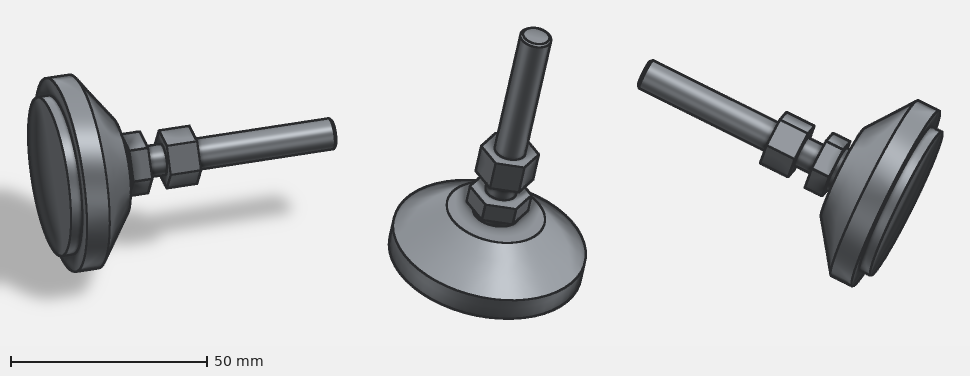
import cadquery as cq
import math

total_length = 75.0
pad_thickness = 3.0
rim_thickness = 6.0
cone_height = 9.0
collar_height = 2.0
lower_hex_height = 4.95
hex_gap = 5.0
upper_hex_height = 8.0

pad_diameter = 41.0
rim_diameter = 50.0
cone_top_diameter = 25.5
collar_diameter = 12.0
stud_diameter = 8.0
stud_chamfer = 0.6

lower_hex_flats = 13.9
lower_hex_corner_diameter = 16.0
upper_hex_flats = 13.0

rim_bottom = pad_thickness
cone_bottom = rim_bottom + rim_thickness
collar_bottom = cone_bottom + cone_height
lower_hex_bottom = collar_bottom + collar_height
upper_hex_bottom = lower_hex_bottom + lower_hex_height + hex_gap


def turned_body():
    """Pad, rim, cone, collar and stud as one revolved profile about Y."""
    stud_radius = stud_diameter / 2
    profile = [
        (0, 0),
        (pad_diameter / 2, 0),
        (pad_diameter / 2, rim_bottom),
        (rim_diameter / 2, rim_bottom),
        (rim_diameter / 2, cone_bottom),
        (cone_top_diameter / 2, collar_bottom),
        (collar_diameter / 2, collar_bottom),
        (collar_diameter / 2, lower_hex_bottom),
        (stud_radius, lower_hex_bottom),
        (stud_radius, total_length - stud_chamfer),
        (stud_radius - stud_chamfer, total_length),
        (0, total_length),
    ]
    return cq.Workplane("XY").polyline(profile).close().revolve(360, (0, 0), (0, 1))


def hexagon(bottom, height, across_flats):
    """Hexagonal prism along +Y with two corners on the X axis."""
    across_corners = across_flats / math.cos(math.radians(30))
    return cq.Workplane("XZ", origin=(0, bottom, 0)).polygon(6, across_corners).extrude(-height)


def lower_hexagon():
    """Wrench hexagon above the collar, with its sharp corners turned down to a circle."""
    turned_blank = (
        cq.Workplane("XZ", origin=(0, lower_hex_bottom, 0))
        .circle(lower_hex_corner_diameter / 2)
        .extrude(-lower_hex_height)
    )
    return hexagon(lower_hex_bottom, lower_hex_height, lower_hex_flats).intersect(turned_blank)


upper_hex = hexagon(upper_hex_bottom, upper_hex_height, upper_hex_flats)

result = turned_body().union(lower_hexagon()).union(upper_hex)